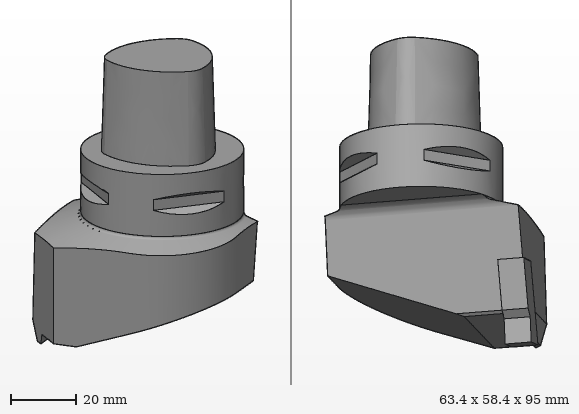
import cadquery as cq
import math


TOTAL_HEIGHT = 95.0
SHANK_HEIGHT = 30.0
LOBE_REACH = 18.7
SIDE_REACH = 16.25
LOBE_RADIUS = 7.6
SHANK_TAPER = 0.95
FLANGE_RADIUS = 50.0 / 2
FLANGE_HEIGHT = 20.0

SLOT_COUNT = 4
SLOT_START_ANGLE = 45
SLOT_FLOOR_DISTANCE = 22.1
SLOT_FLOOR_WIDTH = 3.4
SLOT_FLANK_ANGLE = 30
SLOT_DEPTH_BELOW_TOP = 9.9

HEAD_RIGHT = 28.4
HEAD_FRONT = -33.35
HEAD_CORNER_RADIUS = 25.0
CHAMFER_FRONT_X = -21.7
HEAD_BOTTOM = -55.6
HEAD_BOTTOM_RIGHT = -14.1
HEAD_RIGHT_BOTTOM = -40.1
CONE_ANGLE = 15
NECK_FILLET = 1.0
BACK_TILT = 9.5
BACK_FILLET = 4.0

NOSE_BOTTOM = -58.9
NOSE_SHOULDER = -53.1
NOSE_LEFT = -31.4
NOSE_RIGHT = -29.3
NOSE_ROOT = -28.6

INSERT_TIP_X = -35.0
INSERT_WIDTH = 8.3
INSERT_TIP_Y = 0.2
INSERT_BOTTOM = SHANK_HEIGHT - TOTAL_HEIGHT
INSERT_TOP_BACK = (4.8, -39.2)
INSERT_TOP_FRONT = (-3.3, -38.0)
INSERT_BOTTOM_FRONT = (-7.8, -63.7)
RELIEF_TOP = -54.7
RELIEF_BOTTOM = -56.9
INSERT_PROUD = 0.4
LEFT_TILT = 2.4

REACH = 95.0


def tan(degrees):
    return math.tan(math.radians(degrees))


def polar(radius, degrees):
    angle = math.radians(degrees)
    return (radius * math.cos(angle), radius * math.sin(angle))


def side_x(tip_x, z):
    """X at height z on a tilted side plane that is at tip_x at the insert bottom."""
    return tip_x + (z - INSERT_BOTTOM) * tan(LEFT_TILT)


def back_y(z):
    """Y at height z on the tilted back face."""
    y, top_z = INSERT_TOP_BACK
    return y + (z - top_z) * tan(BACK_TILT)


def lobed_wire(z, inset):
    """Three lobe arcs joined tangentially by three large side arcs."""
    lobe = LOBE_RADIUS - inset
    side = SIDE_REACH - inset
    lobe_centre = LOBE_REACH - LOBE_RADIUS
    side_radius = (side**2 + lobe_centre**2 - lobe_centre * side - lobe**2) / (
        2 * side - 2 * lobe - lobe_centre
    )
    side_centre = side_radius - side
    half_angle = math.degrees(math.asin(side_centre * math.sin(math.radians(60)) / (side_radius - lobe)))

    edges = []
    lobe_pitch = 120
    for lobe_angle in range(90, 90 + 360, lobe_pitch):
        centre = cq.Vector(*polar(lobe_centre, lobe_angle), z)
        start = centre + cq.Vector(*polar(lobe, lobe_angle - half_angle))
        tip = centre + cq.Vector(*polar(lobe, lobe_angle))
        end = centre + cq.Vector(*polar(lobe, lobe_angle + half_angle))
        side_middle = cq.Vector(*polar(side, lobe_angle + lobe_pitch / 2), z)
        next_centre = cq.Vector(*polar(lobe_centre, lobe_angle + lobe_pitch), z)
        next_start = next_centre + cq.Vector(*polar(lobe, lobe_angle + lobe_pitch - half_angle))
        edges.append(cq.Edge.makeThreePointArc(start, tip, end))
        edges.append(cq.Edge.makeThreePointArc(end, side_middle, next_start))
    return cq.Wire.assembleEdges(edges)


def gripper_slot():
    """Straight trapezoidal groove across the +X side of the flange."""
    depth = FLANGE_RADIUS - SLOT_FLOOR_DISTANCE
    floor_half = SLOT_FLOOR_WIDTH / 2
    mouth_half = floor_half + depth * tan(SLOT_FLANK_ANGLE)
    return (
        cq.Workplane("XZ")
        .polyline([
            (SLOT_FLOOR_DISTANCE, -SLOT_DEPTH_BELOW_TOP - floor_half),
            (FLANGE_RADIUS, -SLOT_DEPTH_BELOW_TOP - mouth_half),
            (FLANGE_RADIUS, -SLOT_DEPTH_BELOW_TOP + mouth_half),
            (SLOT_FLOOR_DISTANCE, -SLOT_DEPTH_BELOW_TOP + floor_half),
        ])
        .close()
        .extrude(FLANGE_RADIUS, both=True)
    )


def make_coupling():
    shank = cq.Solid.makeLoft([lobed_wire(0, 0), lobed_wire(SHANK_HEIGHT, SHANK_TAPER)], True)
    flange = cq.Workplane("XY").circle(FLANGE_RADIUS).extrude(-FLANGE_HEIGHT)
    for i in range(SLOT_COUNT):
        angle = SLOT_START_ANGLE + i * 360 / SLOT_COUNT
        flange = flange.cut(gripper_slot().rotate((0, 0, 0), (0, 0, 1), angle))
    return flange.union(cq.Workplane(shank))


def head_plan():
    """Plan outline: rounded front right corner, chamfered front left corner."""
    arc_x = HEAD_RIGHT - HEAD_CORNER_RADIUS
    arc_y = HEAD_FRONT + HEAD_CORNER_RADIUS
    arc_middle = cq.Vector(arc_x, arc_y) + cq.Vector(*polar(HEAD_CORNER_RADIUS, -45))
    left = INSERT_TIP_X
    chamfer = CHAMFER_FRONT_X - left
    return (
        cq.Workplane("XY")
        .moveTo(CHAMFER_FRONT_X, HEAD_FRONT)
        .lineTo(arc_x, HEAD_FRONT)
        .threePointArc((arc_middle.x, arc_middle.y), (HEAD_RIGHT, arc_y))
        .lineTo(HEAD_RIGHT, FLANGE_RADIUS)
        .lineTo(left, FLANGE_RADIUS)
        .lineTo(left, HEAD_FRONT + chamfer)
        .close()
        .extrude(-REACH)
    )


def head_elevation():
    """Front outline with the tilted left wall, the nose and the sloping underside."""
    wall_tip = INSERT_TIP_X + INSERT_PROUD
    return (
        cq.Workplane("XZ")
        .polyline([
            (side_x(wall_tip, -FLANGE_HEIGHT), -FLANGE_HEIGHT),
            (side_x(wall_tip, NOSE_SHOULDER), NOSE_SHOULDER),
            (NOSE_LEFT, NOSE_BOTTOM),
            (NOSE_RIGHT, NOSE_BOTTOM),
            (NOSE_ROOT, HEAD_BOTTOM),
            (HEAD_BOTTOM_RIGHT, HEAD_BOTTOM),
            (HEAD_RIGHT, HEAD_RIGHT_BOTTOM),
            (HEAD_RIGHT, -FLANGE_HEIGHT),
        ])
        .close()
        .extrude(REACH, both=True)
    )


def head_side():
    """Side outline: tilted back face, filleted into the underside of the flange."""
    turn = 90 - BACK_TILT
    tangent = BACK_FILLET * tan(turn / 2)
    fillet_y = back_y(-FLANGE_HEIGHT) + tangent
    fillet_z = -FLANGE_HEIGHT - BACK_FILLET
    middle = polar(BACK_FILLET, 90 + turn / 2)
    end = polar(BACK_FILLET, 90 + turn)
    return (
        cq.Workplane("YZ")
        .moveTo(HEAD_FRONT, -FLANGE_HEIGHT)
        .lineTo(fillet_y, -FLANGE_HEIGHT)
        .threePointArc(
            (fillet_y + middle[0], fillet_z + middle[1]),
            (fillet_y + end[0], fillet_z + end[1]),
        )
        .lineTo(back_y(RELIEF_TOP), RELIEF_TOP)
        .lineTo(INSERT_TIP_Y, RELIEF_BOTTOM)
        .lineTo(INSERT_TIP_Y, -REACH)
        .lineTo(HEAD_FRONT, -REACH)
        .close()
        .extrude(REACH, both=True)
    )


def head_shoulder():
    """Conical shoulder, filleted into the flange's cylinder."""
    turn = 90 - CONE_ANGLE
    tangent = NECK_FILLET * tan(turn / 2)
    arc_x = FLANGE_RADIUS + NECK_FILLET
    arc_z = -FLANGE_HEIGHT
    middle = polar(NECK_FILLET, 180 + turn / 2)
    end = polar(NECK_FILLET, 180 + turn)
    rim_z = arc_z - tangent - (REACH - FLANGE_RADIUS) * tan(CONE_ANGLE)
    return (
        cq.Workplane("XZ")
        .moveTo(0, arc_z)
        .lineTo(FLANGE_RADIUS, arc_z)
        .threePointArc((arc_x + middle[0], arc_z + middle[1]), (arc_x + end[0], arc_z + end[1]))
        .lineTo(REACH, rim_z)
        .lineTo(REACH, -REACH)
        .lineTo(0, -REACH)
        .close()
        .revolve(360, (0, 0), (0, 1))
    )


def make_insert():
    """Tilted blade: side profile trimmed by the two parallel tilted side planes."""
    profile = (
        cq.Workplane("YZ")
        .polyline([
            INSERT_TOP_BACK,
            INSERT_TOP_FRONT,
            INSERT_BOTTOM_FRONT,
            (INSERT_TIP_Y, INSERT_BOTTOM),
            (INSERT_TIP_Y, RELIEF_BOTTOM),
            (back_y(RELIEF_TOP), RELIEF_TOP),
        ])
        .close()
        .extrude(REACH, both=True)
    )
    right_tip = INSERT_TIP_X + INSERT_WIDTH
    sides = (
        cq.Workplane("XZ")
        .polyline([
            (INSERT_TIP_X, INSERT_BOTTOM),
            (right_tip, INSERT_BOTTOM),
            (side_x(right_tip, 0), 0),
            (side_x(INSERT_TIP_X, 0), 0),
        ])
        .close()
        .extrude(REACH, both=True)
    )
    return profile.intersect(sides)


def make_head(insert):
    head = head_plan().intersect(head_elevation())
    head = head.intersect(head_side())
    head = head.intersect(head_shoulder())
    return head.cut(insert)


coupling = make_coupling()
insert = make_insert()
head = make_head(insert)

result = cq.Compound.makeCompound([coupling.solids().val(), head.solids().val(), insert.solids().val()])